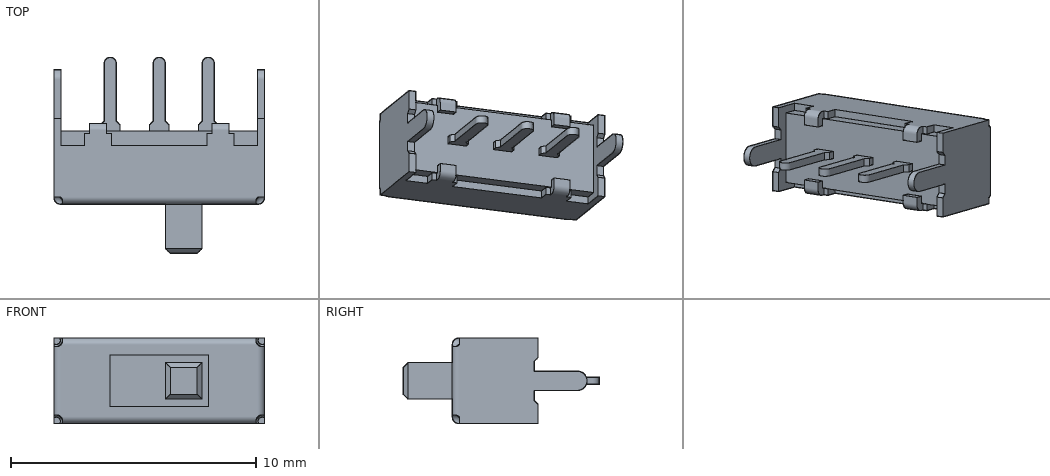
import cadquery as cq


shell_length = 8.6
shell_height = 3.5
sheet = 0.3
bend_radius = 0.28
side_plate_end = 3.5
cover_end = 2.4

relief_radius = 0.26
relief_inset = 0.1
relief_setback = 0.1

window_length = 4.0
window_height = 2.1

leg_width = 0.8
leg_end = 5.5
notch_width = 1.6
notch_depth = 0.15

tab_spacing = 5.0
tab_root_width = 1.1
tab_width = 0.7
tab_shoulder = 2.9
tab_drop = 0.6

base_end = 3.0
base_length = shell_length - 2 * sheet
base_height = shell_height - 2 * sheet

slider_size = 1.5
slider_offset = 1.0
slider_reach = 2.0
slider_chamfer = 0.2

terminal_count = 3
terminal_pitch = 2.0
terminal_thickness = 0.3
terminal_width = 0.5
terminal_end = 6.0
terminal_root_width = 0.8
terminal_root_end = 3.4
terminal_root_chamfer = (terminal_root_width - terminal_width) / 2


def block(x_range, y_range, z_range):
    """Axis-aligned box given by its limits along X, Y and Z."""
    ranges = (x_range, y_range, z_range)
    size = [high - low for low, high in ranges]
    corner = tuple(low for low, high in ranges)
    return cq.Workplane("XY").box(*size, centered=False).translate(corner)


def around(center, width):
    """Limits of a stretch of the given width about a center."""
    return (center - width / 2, center + width / 2)


def make_folded_box():
    """Front plate and covers with bent front edges, filled by the base."""
    envelope = block(around(0, shell_length), (0, cover_end), around(0, shell_height))
    long_bends = envelope.edges("|X and <Y").fillet(bend_radius)
    short_bends = envelope.edges("|Z and <Y").fillet(bend_radius)
    base = block(around(0, base_length), (sheet, base_end), around(0, base_height))
    return long_bends.intersect(short_bends).union(base)


def make_side_plate(side):
    """Side plate behind the bend, with its notches and mounting leg."""
    half_height = shell_height / 2
    half_notch = notch_width / 2
    half_leg = leg_width / 2
    notch_floor = side_plate_end - notch_depth
    outline = (
        cq.Workplane("YZ")
        .moveTo(bend_radius, -half_height)
        .lineTo(side_plate_end, -half_height)
        .lineTo(side_plate_end, -half_notch - notch_depth)
        .lineTo(notch_floor, -half_notch)
        .lineTo(notch_floor, -half_leg)
        .lineTo(leg_end - half_leg, -half_leg)
        .threePointArc((leg_end, 0), (leg_end - half_leg, half_leg))
        .lineTo(notch_floor, half_leg)
        .lineTo(notch_floor, half_notch)
        .lineTo(side_plate_end, half_notch + notch_depth)
        .lineTo(side_plate_end, half_height)
        .lineTo(bend_radius, half_height)
        .close()
    )
    inner_face = side * (shell_length / 2 - sheet)
    return outline.extrude(side * sheet).translate((inner_face, 0, 0))


def make_crimp_tab(center, side):
    """Tab on a cover edge, bent around the back of the base."""
    outer = shell_height / 2
    inner = outer - sheet
    tab_end = base_end + sheet
    root = block(around(center, tab_root_width), (sheet, tab_shoulder), (inner, outer))
    strip = block(around(center, tab_width), (sheet, tab_end), (inner, outer))
    flap = block(around(center, tab_width), (base_end, tab_end), (outer - tab_drop, outer))
    tab = strip.union(flap).edges("|X and >Y and >Z").fillet(bend_radius).union(root)
    return tab if side > 0 else tab.mirror("XY")


def make_terminal(center):
    """Flat terminal with a wide chamfered root and a round tip."""
    half_width = terminal_width / 2
    half_root = terminal_root_width / 2
    root_shoulder = terminal_root_end - terminal_root_chamfer
    return (
        cq.Workplane("XY")
        .moveTo(-half_root, sheet)
        .lineTo(-half_root, root_shoulder)
        .lineTo(-half_width, terminal_root_end)
        .lineTo(-half_width, terminal_end - half_width)
        .threePointArc((0, terminal_end), (half_width, terminal_end - half_width))
        .lineTo(half_width, terminal_root_end)
        .lineTo(half_root, root_shoulder)
        .lineTo(half_root, sheet)
        .close()
        .extrude(terminal_thickness / 2, both=True)
        .translate((center, 0, 0))
    )


def make_slider():
    """Square slider with a chamfered front end, rooted in the base."""
    root = 2 * sheet
    slider = block(around(slider_offset, slider_size), (-slider_reach, root), around(0, slider_size))
    return slider.faces("<Y").chamfer(slider_chamfer)


def make_window():
    """Opening through the front plate, down to the base."""
    return block(around(0, window_length), (0, sheet), around(0, window_height))


def make_corner_relief(side_x, side_z):
    """Ball-shaped relief at one front corner, kept within the front plate."""
    center = (
        side_x * (shell_length / 2 - relief_inset),
        relief_setback,
        side_z * (shell_height / 2 - relief_inset),
    )
    ball = cq.Workplane("XY").sphere(relief_radius).translate(center)
    front_plate = block(around(0, shell_length), (0, sheet), around(0, shell_height))
    return ball.intersect(front_plate)


def make_switch():
    """Join the shell, base, slider and terminals into one solid."""
    sides = (-1, 1)
    switch = make_folded_box()
    for side_x in sides:
        switch = switch.union(make_side_plate(side_x))
        for side_z in sides:
            switch = switch.cut(make_corner_relief(side_x, side_z))
            switch = switch.union(make_crimp_tab(side_x * tab_spacing / 2, side_z))
    switch = switch.cut(make_window()).union(make_slider())
    first_terminal = -(terminal_count - 1) / 2 * terminal_pitch
    for index in range(terminal_count):
        switch = switch.union(make_terminal(first_terminal + index * terminal_pitch))
    return switch


result = make_switch()